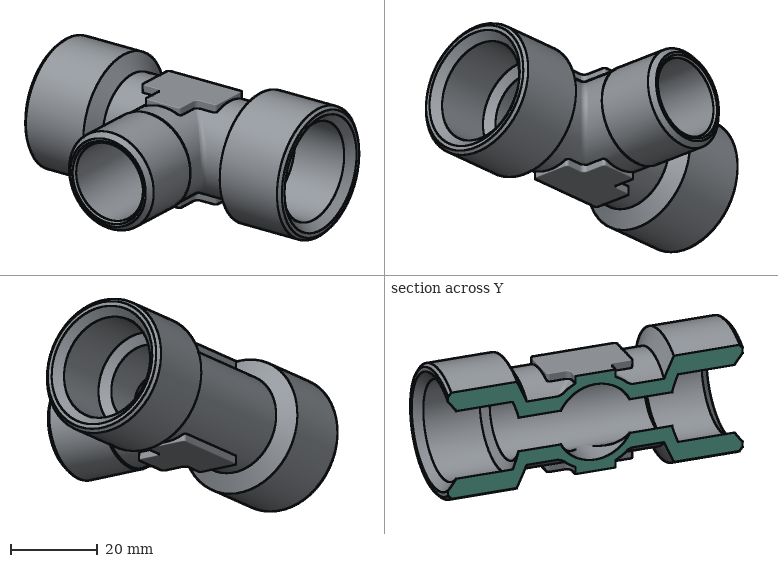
import cadquery as cq
import math

RUN_LENGTH = 73.0
SOCKET_RADIUS = 16.0
SOCKET_LENGTH = 17.1
SOCKET_RIM_CHAMFER = 0.8
SHOULDER_ANGLE = 30.0
NECK_RADIUS = 11.75

SOCKET_BORE_RADIUS = 12.05
SOCKET_BORE_DEPTH = 16.0
SOCKET_MOUTH_RADIUS = 14.1
SOCKET_MOUTH_ANGLE = 45.0
FLOOR_ANGLE = 30.0

BRANCH_LENGTH = 33.0
BRANCH_NECK_END = 17.1
SPIGOT_RADIUS = 12.05
SPIGOT_CHAMFER = 1.3
BRANCH_MOUTH_CHAMFER = 0.6

PASSAGE_RADIUS = 9.5
CROTCH_FILLET = 1.1

PAD_HEIGHT = 12.5
PAD_BAR_LENGTH = 21.3
PAD_BAR_WIDTH = 10.5
PAD_STEM_WIDTH = 10.1
PAD_STEM_END = 11.75
PAD_CORNER_RADIUS = 0.7
PAD_INNER_RADIUS = 1.2
PAD_EDGE_FILLET = 0.18

HALF_RUN = RUN_LENGTH / 2
HALF_STEM = PAD_STEM_WIDTH / 2
SHOULDER_SLOPE = math.tan(math.radians(SHOULDER_ANGLE))


def turned_run(half_profile):
    """Turn (x, radius) points about X, repeated on the other side of the branch."""
    mirrored = [(-x, radius) for x, radius in reversed(half_profile)]
    end = half_profile[-1][0]
    outline = [(-end, 0)] + mirrored + half_profile + [(end, 0)]
    return cq.Workplane("XZ").polyline(outline).close().revolve(360, (0, 0, 0), (1, 0, 0))


def turned_branch(profile):
    """Turn (distance, radius) points about -Y, starting from the run axis."""
    outline = [(0, 0)] + [(-distance, radius) for distance, radius in profile]
    outline.append((-profile[-1][0], 0))
    return cq.Workplane("YZ").polyline(outline).close().revolve(360, (0, 0, 0), (1, 0, 0))


def run_body():
    """Solid run: the neck with a chamfered socket at each end."""
    socket_start = HALF_RUN - SOCKET_LENGTH
    shoulder_length = (SOCKET_RADIUS - NECK_RADIUS) * SHOULDER_SLOPE
    return turned_run([
        (socket_start - shoulder_length, NECK_RADIUS),
        (socket_start, SOCKET_RADIUS),
        (HALF_RUN - SOCKET_RIM_CHAMFER, SOCKET_RADIUS),
        (HALF_RUN, SOCKET_RADIUS - SOCKET_RIM_CHAMFER),
    ])


def run_hollow():
    """Passage along the run, opening through a conical floor into each socket."""
    floor_end = HALF_RUN - SOCKET_BORE_DEPTH
    floor_length = (SOCKET_BORE_RADIUS - PASSAGE_RADIUS) * math.tan(math.radians(FLOOR_ANGLE))
    mouth_depth = (SOCKET_MOUTH_RADIUS - SOCKET_BORE_RADIUS) / math.tan(math.radians(SOCKET_MOUTH_ANGLE))
    return turned_run([
        (floor_end - floor_length, PASSAGE_RADIUS),
        (floor_end, SOCKET_BORE_RADIUS),
        (HALF_RUN - mouth_depth, SOCKET_BORE_RADIUS),
        (HALF_RUN, SOCKET_MOUTH_RADIUS),
    ])


def branch_body():
    """Solid branch: the neck, a small conical step and the chamfered spigot."""
    step_length = (SPIGOT_RADIUS - NECK_RADIUS) * SHOULDER_SLOPE
    return turned_branch([
        (0, NECK_RADIUS),
        (BRANCH_NECK_END, NECK_RADIUS),
        (BRANCH_NECK_END + step_length, SPIGOT_RADIUS),
        (BRANCH_LENGTH - SPIGOT_CHAMFER, SPIGOT_RADIUS),
        (BRANCH_LENGTH, SPIGOT_RADIUS - SPIGOT_CHAMFER),
    ])


def branch_hollow():
    """Passage along the branch, with a small countersink at its mouth."""
    return turned_branch([
        (0, PASSAGE_RADIUS),
        (BRANCH_LENGTH - BRANCH_MOUTH_CHAMFER, PASSAGE_RADIUS),
        (BRANCH_LENGTH, PASSAGE_RADIUS + BRANCH_MOUTH_CHAMFER),
    ])


def stem_block(width, end, height):
    """Block on the Z axis running from the run axis toward the branch."""
    return cq.Workplane("XY").box(width, end, height, centered=(True, False, True)).translate((0, -end, 0))


def pads():
    """T-shaped block whose two flat ends stand proud of the necks."""
    bar = cq.Workplane("XY").box(PAD_BAR_LENGTH, PAD_BAR_WIDTH, 2 * PAD_HEIGHT)
    bar = bar.edges("|Z").fillet(PAD_CORNER_RADIUS)
    stem = stem_block(PAD_STEM_WIDTH, PAD_STEM_END, 2 * PAD_HEIGHT)
    stem = stem.edges("|Z and <Y").fillet(PAD_CORNER_RADIUS)

    bar_edge = -PAD_BAR_WIDTH / 2
    inner_corners = cq.selectors.BoxSelector(
        (-HALF_STEM - PAD_CORNER_RADIUS, bar_edge - PAD_CORNER_RADIUS, -PAD_HEIGHT),
        (HALF_STEM + PAD_CORNER_RADIUS, bar_edge + PAD_CORNER_RADIUS, PAD_HEIGHT),
    )
    block = bar.union(stem).edges("|Z").edges(inner_corners).fillet(PAD_INNER_RADIUS)
    return block.faces("<Z or >Z").edges().fillet(PAD_EDGE_FILLET)


def tee_body():
    """Run, branch and pads joined, with the crotches between run and branch filleted."""
    tee = run_body().union(branch_body())
    slot_width = PAD_STEM_WIDTH - 2 * PAD_CORNER_RADIUS
    tee = tee.cut(stem_block(slot_width, PAD_STEM_END - PAD_CORNER_RADIUS, 2 * PAD_HEIGHT))
    crotch_zone = cq.selectors.BoxSelector(
        (-NECK_RADIUS, -NECK_RADIUS, -NECK_RADIUS),
        (NECK_RADIUS, -HALF_STEM, NECK_RADIUS),
    )
    crotches = tee.edges("%ELLIPSE").edges(crotch_zone)
    return crotches.fillet(CROTCH_FILLET).union(pads())


result = tee_body().cut(run_hollow()).cut(branch_hollow())